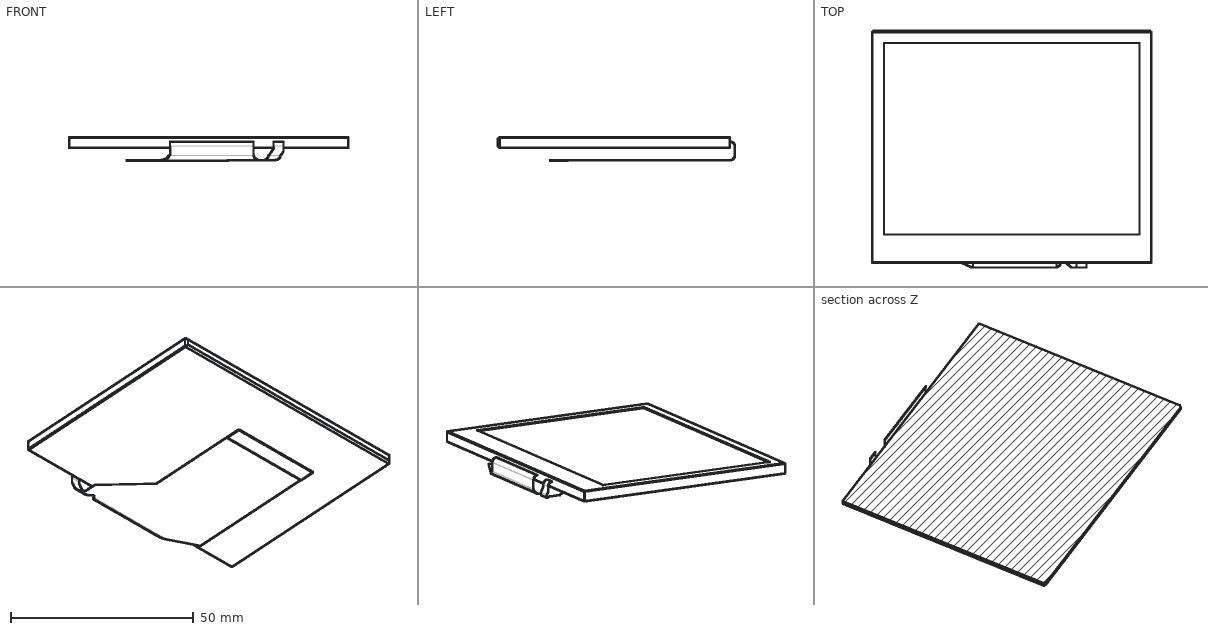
import cadquery as cq

panel_width = 76.9
panel_depth = 63.9
panel_height = 3.1
back_chamfer = 0.6
edge_chamfer = 0.2

window_width = 70.3
window_depth = 52.6
window_back_margin = 3.45
window_recess = 0.3

overall_height = 6.6
sheet = 0.115
bend_radius = 1.3
flex_drop = 1.2
stiffener_thickness = 0.19

flex_top = panel_height - flex_drop
flex_bottom = panel_height - overall_height + stiffener_thickness
upper_bend_end = flex_top - bend_radius
lower_bend_start = flex_bottom + bend_radius

stiffener_left = -22.6
stiffener_right = 5.2
stiffener_depth = 4.8
flex_back = 49.45

strip_left = -10.6
strip_right = 12.3
strip_flare = 0.2
strip_flare_rise = 0.3
flare_x = -13.8
shoulder_y = 4.3

tail_left = 17.85
tail_right = 20.5
tail_left_low = 16.45
tail_right_low = 19.8
tail_right_flat = 17.2
tail_slant_rise = 2.0
tail_bend_rise = 1.1
tail_turn_y = 0.6
taper_end_y = shoulder_y + tail_right_flat - stiffener_right

gap_left = 13.4
gap_right = 14.9
gap_corner_y = -0.5
gap_end_y = 0.6


def make_panel():
    """Rectangular panel with chamfered edges and a shallow viewing window."""
    body = cq.Workplane("XY").box(panel_width, panel_depth, panel_height, centered=(True, False, False))
    body = body.faces(">Y").edges().chamfer(back_chamfer)
    body = body.edges("<Y or (<X and |Y) or (>X and |Y)").chamfer(edge_chamfer)
    window_y = panel_depth - window_back_margin - window_depth / 2
    window = (
        cq.Workplane("XY", origin=(0, window_y, panel_height))
        .rect(window_width, window_depth)
        .extrude(-window_recess)
    )
    return body.cut(window)


def bent_sheet():
    """U-shaped sheet with two equal bends, wide enough for the whole outline."""
    inner_radius = bend_radius - sheet
    return (
        cq.Workplane("YZ", origin=(stiffener_left, 0, 0))
        .moveTo(0, flex_top)
        .radiusArc((-bend_radius, upper_bend_end), -bend_radius)
        .lineTo(-bend_radius, lower_bend_start)
        .radiusArc((0, flex_bottom), -bend_radius)
        .lineTo(flex_back, flex_bottom)
        .lineTo(flex_back, flex_bottom + sheet)
        .lineTo(0, flex_bottom + sheet)
        .radiusArc((-inner_radius, lower_bend_start), inner_radius)
        .lineTo(-inner_radius, upper_bend_end)
        .radiusArc((0, flex_top - sheet), inner_radius)
        .close()
        .extrude(tail_right - stiffener_left)
    )


def wall_outline(points):
    """Prism along Y that bounds the wall and the upper bend."""
    return cq.Workplane("XZ").polyline(points).close().extrude(bend_radius)


def flat_outline():
    """Prism along Z that bounds the lower bend and the flat run under the panel."""
    return (
        cq.Workplane("XY", origin=(0, 0, flex_bottom))
        .moveTo(strip_left - strip_flare, -bend_radius)
        .lineTo(strip_right, -bend_radius)
        .lineTo(gap_left, gap_corner_y)
        .lineTo(gap_left, 0)
        .threePointArc(((gap_left + gap_right) / 2, gap_end_y), (gap_right, 0))
        .lineTo(tail_left_low, -bend_radius)
        .lineTo(tail_right_low, -bend_radius)
        .lineTo(tail_right_flat, tail_turn_y)
        .lineTo(tail_right_flat, shoulder_y)
        .lineTo(stiffener_right, taper_end_y)
        .lineTo(stiffener_right, flex_back)
        .lineTo(stiffener_left, flex_back)
        .lineTo(stiffener_left, shoulder_y)
        .lineTo(flare_x, 0)
        .close()
        .extrude(bend_radius)
    )


def make_flex():
    """Bent sheet trimmed to its outline, with the stiffener under its far end."""
    strip_wall = wall_outline([
        (strip_left, flex_top),
        (strip_right, flex_top),
        (strip_right, lower_bend_start),
        (strip_left - strip_flare, lower_bend_start),
        (strip_left, lower_bend_start + strip_flare_rise),
    ])
    tail_wall = wall_outline([
        (tail_left, flex_top),
        (tail_right, flex_top),
        (tail_right, lower_bend_start + tail_bend_rise),
        (tail_right_low, lower_bend_start),
        (tail_left_low, lower_bend_start),
        (tail_left, lower_bend_start + tail_slant_rise),
    ])
    stiffener = cq.Workplane("XY").box(
        stiffener_right - stiffener_left, stiffener_depth, stiffener_thickness, centered=False
    ).translate((stiffener_left, flex_back - stiffener_depth, flex_bottom - stiffener_thickness))

    outline = flat_outline().union(strip_wall).union(tail_wall)
    return bent_sheet().intersect(outline).union(stiffener)


panel = make_panel()
flex = make_flex()

result = cq.Compound.makeCompound([panel.val(), flex.val()])